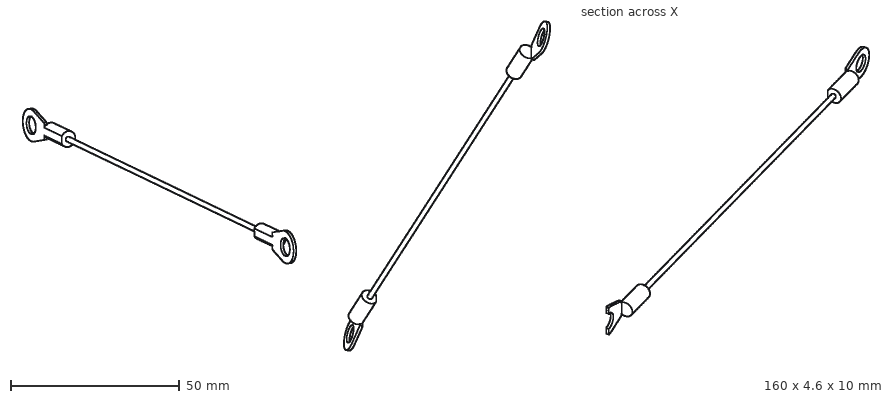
import cadquery as cq
import math

overall_length = 160.0
lug_diameter = 10.0
lug_thickness = 1.0
lug_hole_diameter = 5.5
lug_neck_width = 5.3

overall_depth = 4.6
barrel_diameter = 5.0
barrel_start = 12.6
barrel_length = 10.5
rod_diameter = 1.6
rod_setback = 2.0

neck_half_width = lug_neck_width / 2
lug_radius = lug_diameter / 2
barrel_radius = barrel_diameter / 2
eye_x = overall_length / 2 - lug_radius
barrel_outer_x = overall_length / 2 - barrel_start
barrel_inner_x = barrel_outer_x - barrel_length
front_y = -overall_depth / 2
barrel_y = overall_depth / 2 - barrel_radius
rod_y = front_y + rod_setback


def make_lug():
    """Flat ring tongue whose straight sides run tangent from the eye to the neck."""
    reach = eye_x - barrel_outer_x
    corner_distance = math.hypot(reach, neck_half_width)
    tangent_angle = math.pi - math.atan2(neck_half_width, reach) - math.acos(lug_radius / corner_distance)
    tangent_x = eye_x + lug_radius * math.cos(tangent_angle)
    tangent_z = lug_radius * math.sin(tangent_angle)
    outline = (
        cq.Workplane("XZ", origin=(0, front_y, 0))
        .moveTo(barrel_outer_x, -neck_half_width)
        .lineTo(tangent_x, -tangent_z)
        .threePointArc((overall_length / 2, 0), (tangent_x, tangent_z))
        .lineTo(barrel_outer_x, neck_half_width)
        .close()
    )
    hole = (
        cq.Workplane("XZ", origin=(eye_x, front_y, 0))
        .circle(lug_hole_diameter / 2)
        .extrude(-lug_thickness)
    )
    return outline.extrude(-lug_thickness).cut(hole)


def make_barrel():
    """Round barrel with a flat front, flush with the lug."""
    round_barrel = (
        cq.Workplane("YZ", origin=(barrel_inner_x, barrel_y, 0))
        .circle(barrel_radius)
        .extrude(barrel_length)
    )
    flat_envelope = cq.Workplane("XY").box(overall_length, overall_depth, barrel_diameter)
    return round_barrel.intersect(flat_envelope)


terminal = make_lug().union(make_barrel())
rod = (
    cq.Workplane("YZ", origin=(-barrel_inner_x, rod_y, 0))
    .circle(rod_diameter / 2)
    .extrude(2 * barrel_inner_x)
)
result = rod.union(terminal).union(terminal.mirror("YZ"))